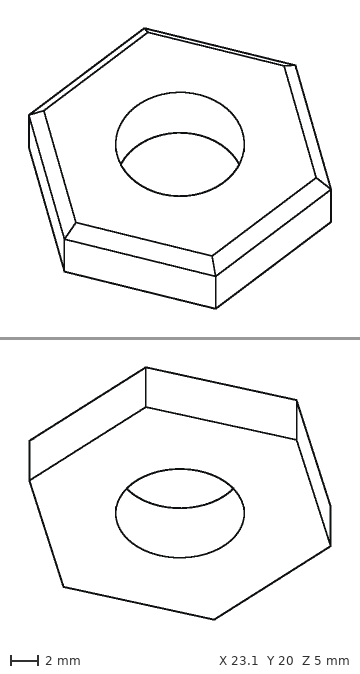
import cadquery as cq

corner_diameter = 23.1
thickness = 5.0
hole_diameter = 9.4
chamfer = 1.0

body = (
    cq.Workplane("XY")
    .polygon(6, corner_diameter)
    .extrude(thickness)
    .faces(">Z")
    .chamfer(chamfer)
)

result = body.faces(">Z").workplane().hole(hole_diameter)